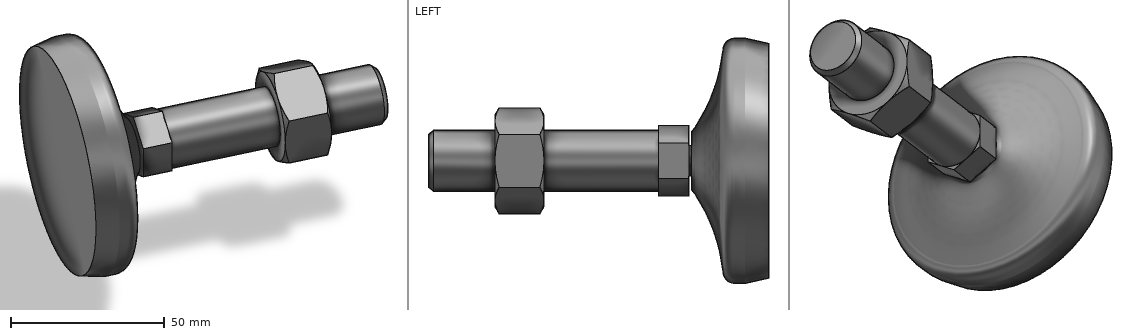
import cadquery as cq
import math

TOTAL_LENGTH = 111.0

FOOT_RADIUS = 80.0 / 2
FLOOR_RADIUS = 38.3
TAPER_HEIGHT = 7.7
RIM_TOP = 11.1
RIM_ROUND = 3.9
FLARE_RADIUS = 10.9
FLARE_TOP = 24.1
FLARE_SAG = 1.5
CROWN_RADIUS = 9.5
FOOT_TOP = 25.2

STUD_DIAMETER = 20.0
STUD_TIP_LENGTH = 1.7
STUD_TIP_INSET = 1.3
NECK_DIAMETER = 10.0
WRENCH_HEX_START = 26.1
WRENCH_HEX_LENGTH = 10.0
WRENCH_HEX_FLATS = STUD_DIAMETER

NUT_START = 73.4
NUT_LENGTH = 16.0
NUT_FLATS = 30.0
NUT_CHAMFER_ANGLE = 30.0


def revolve_about_y(profile):
    return profile.close().revolve(360, (0, 0, 0), (0, 1, 0))


def hex_prism(across_flats, start, length):
    """Hexagonal bar along Y, with two corners pointing along +Z and -Z."""
    corner_diameter = across_flats / math.cos(math.pi / 6)
    return (
        cq.Workplane("XZ", origin=(0, start, 0))
        .transformed(rotate=(0, 0, 90))
        .polygon(6, corner_diameter)
        .extrude(-length)
    )


def make_foot():
    round_center_radius = FOOT_RADIUS - RIM_ROUND
    round_top = RIM_TOP + RIM_ROUND
    diagonal = RIM_ROUND * math.cos(math.pi / 4)
    round_middle = (round_center_radius + diagonal, RIM_TOP + diagonal)

    run = round_center_radius - FLARE_RADIUS
    drop = FLARE_TOP - round_top
    chord = math.hypot(run, drop)
    flare_middle = (
        (round_center_radius + FLARE_RADIUS) / 2 - FLARE_SAG * drop / chord,
        (round_top + FLARE_TOP) / 2 - FLARE_SAG * run / chord,
    )

    profile = (
        cq.Workplane("XY")
        .lineTo(FLOOR_RADIUS, 0)
        .lineTo(FOOT_RADIUS, TAPER_HEIGHT)
        .lineTo(FOOT_RADIUS, RIM_TOP)
        .threePointArc(round_middle, (round_center_radius, round_top))
        .threePointArc(flare_middle, (FLARE_RADIUS, FLARE_TOP))
        .lineTo(CROWN_RADIUS, FOOT_TOP)
        .lineTo(0, FOOT_TOP)
    )
    return revolve_about_y(profile)


def make_neck():
    return (
        cq.Workplane("XZ", origin=(0, FLARE_TOP, 0))
        .circle(NECK_DIAMETER / 2)
        .extrude(FLARE_TOP - WRENCH_HEX_START - WRENCH_HEX_LENGTH / 2)
    )


def make_stud():
    radius = STUD_DIAMETER / 2
    wrench_hex_end = WRENCH_HEX_START + WRENCH_HEX_LENGTH
    profile = (
        cq.Workplane("XY")
        .moveTo(0, wrench_hex_end)
        .lineTo(radius, wrench_hex_end)
        .lineTo(radius, TOTAL_LENGTH - STUD_TIP_LENGTH)
        .lineTo(radius - STUD_TIP_INSET, TOTAL_LENGTH)
        .lineTo(0, TOTAL_LENGTH)
    )
    return revolve_about_y(profile)


def make_nut():
    nut_end = NUT_START + NUT_LENGTH
    flat_radius = NUT_FLATS / 2
    corner_radius = flat_radius / math.cos(math.pi / 6)
    chamfer_depth = (corner_radius - flat_radius) * math.tan(math.radians(NUT_CHAMFER_ANGLE))
    envelope = revolve_about_y(
        cq.Workplane("XY")
        .moveTo(0, NUT_START)
        .lineTo(flat_radius, NUT_START)
        .lineTo(corner_radius, NUT_START + chamfer_depth)
        .lineTo(corner_radius, nut_end - chamfer_depth)
        .lineTo(flat_radius, nut_end)
        .lineTo(0, nut_end)
    )
    return hex_prism(NUT_FLATS, NUT_START, NUT_LENGTH).intersect(envelope)


wrench_hex = hex_prism(WRENCH_HEX_FLATS, WRENCH_HEX_START, WRENCH_HEX_LENGTH)
result = make_foot().union(make_neck()).union(wrench_hex).union(make_stud()).union(make_nut())